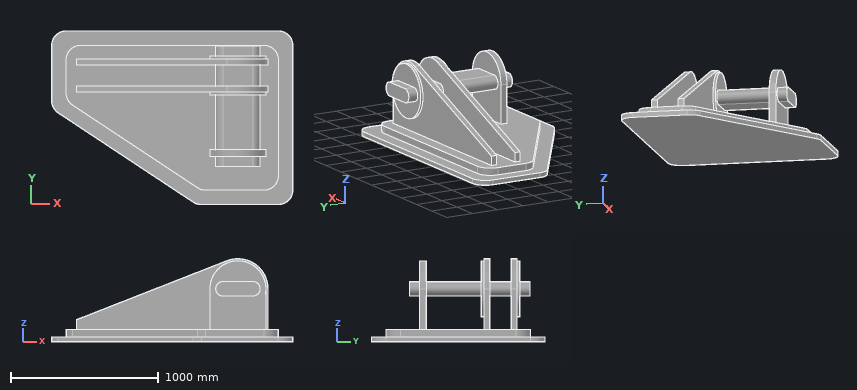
import cadquery as cq
import math

base_length = 1639.0
base_width = 1180.0
base_thickness = 35.0
pad_thickness = 50.0
pad_inset = 98.0
corner_radius = 100.0
cut_corner_x = 987.0
cut_corner_y = 652.0
pad_top = base_thickness + pad_thickness

pin_x = 1265.0
pin_z = 360.0
pin_width = 302.0
pin_height = 98.0
pin_length = 820.0
pin_front_y = 259.0

overall_height = 565.0
rib_radius = overall_height - pin_z
rib_thickness = 41.0
rib_left_x = 169.0
rib_left_height = 65.0
front_rib_y = 764.0
rear_rib_y = 949.0
boss_radius = 190.0
boss_thickness = 18.0

support_y = 326.0
support_thickness = 48.0


def plane_at(y):
    """Plane facing +Y, with local x = -X and local y = Z, centred on the pin axis."""
    return cq.Plane(origin=(pin_x, y, pin_z), xDir=(-1, 0, 0), normal=(0, 1, 0))


def make_plate(inset, bottom, thickness):
    corners = [
        (0, base_width),
        (0, cut_corner_y),
        (cut_corner_x, 0),
        (base_length, 0),
        (base_length, base_width),
    ]
    outline = cq.Workplane("XY", origin=(0, 0, bottom)).polyline(corners).close()
    if inset:
        outline = outline.offset2D(-inset, "intersection")
    return outline.extrude(thickness).edges("|Z").fillet(corner_radius)


def make_rib(y):
    left = pin_x - rib_left_x
    bottom = pad_top - pin_z
    left_top = bottom + rib_left_height
    end_distance = math.hypot(left, left_top)
    tangent_angle = math.atan2(left_top, left) + math.acos(rib_radius / end_distance)
    middle_angle = (tangent_angle + math.pi) / 2

    def rim_point(angle):
        return (rib_radius * math.cos(angle), rib_radius * math.sin(angle))

    return (
        cq.Workplane(plane_at(y))
        .moveTo(left, bottom)
        .lineTo(left, left_top)
        .lineTo(*rim_point(tangent_angle))
        .threePointArc(rim_point(middle_angle), (-rib_radius, 0))
        .lineTo(-rib_radius, bottom)
        .close()
        .extrude(rib_thickness)
    )


def make_boss(y):
    return cq.Workplane(plane_at(y)).circle(boss_radius).extrude(boss_thickness)


def make_support():
    bottom = pad_top - pin_z
    return (
        cq.Workplane(plane_at(support_y))
        .moveTo(boss_radius, bottom)
        .lineTo(boss_radius, 0)
        .threePointArc((0, boss_radius), (-boss_radius, 0))
        .lineTo(-boss_radius, bottom)
        .close()
        .extrude(support_thickness)
    )


def make_pin():
    return cq.Workplane(plane_at(pin_front_y)).slot2D(pin_width, pin_height).extrude(pin_length)


def make_bracket(pin):
    bracket = make_plate(0, 0, base_thickness)
    bracket = bracket.union(make_plate(pad_inset, base_thickness, pad_thickness))
    for rib_y in (front_rib_y, rear_rib_y):
        bracket = bracket.union(make_rib(rib_y))
    for boss_y in (front_rib_y - boss_thickness, rear_rib_y + rib_thickness):
        bracket = bracket.union(make_boss(boss_y))
    bracket = bracket.union(make_support())
    return bracket.cut(pin)


pin = make_pin()
bracket = make_bracket(pin)
result = cq.Compound.makeCompound([*bracket.vals(), pin.val()])